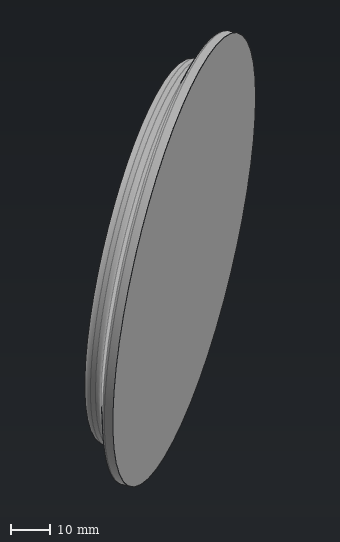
import cadquery as cq
import math

flange_diameter = 119.0
hub_diameter = 101.6
thickness = 11.0
hub_length = 5.0
cone_angle = 20.0
face_fillet = 2.1
foot_fillet = 2.1
rim_fillet = 0.7

flange_radius = flange_diameter / 2
hub_radius = hub_diameter / 2
cone_length = (flange_radius - hub_radius) * math.tan(math.radians(cone_angle))
rim_start = hub_length + cone_length

half_section = (
    cq.Workplane("XY")
    .polyline([
        (0, 0),
        (0, hub_radius),
        (hub_length, hub_radius),
        (rim_start, flange_radius),
        (thickness, flange_radius),
        (thickness, 0),
    ])
    .close()
)
cap = half_section.revolve(360, (0, 0, 0), (1, 0, 0))


def round_circle(body, x, circle_radius, fillet_radius):
    """Fillet the circular edge that lies at position x with the given radius."""
    reach = 0.1
    outer = circle_radius + reach
    edges = body.edges(cq.selectors.BoxSelector(
        (x - reach, -outer, -outer), (x + reach, outer, outer), boundingbox=True))
    return edges.fillet(fillet_radius)


cap = round_circle(cap, 0, hub_radius, face_fillet)
cap = round_circle(cap, hub_length, hub_radius, foot_fillet)
cap = round_circle(cap, rim_start, flange_radius, rim_fillet)

result = cap